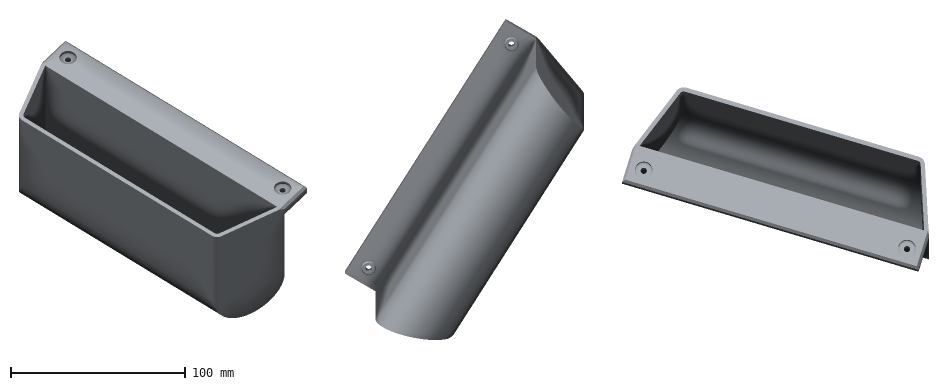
import cadquery as cq
import math

length = 178.0
depth = 63.5
height = 80.0

bin_depth = 43.0
wall = 2.5
side_angle = 20.0
corner_radius = 5.0
bottom_radius = bin_depth / 2

flange_thickness = 6.0
flange_chamfer = 1.5

hole_diameter = 3.5
counterbore_diameter = 10.0
counterbore_depth = 2.0
boss_base_diameter = 8.2
boss_tip_diameter = 7.1
boss_height = 0.9
hole_spacing = 158.0
hole_from_back = 10.0

flange_bottom = height - flange_thickness
side_taper = bin_depth * math.tan(math.radians(side_angle))


def plan_prism():
    """Tapered outline of the bin with rounded front corners, at full height."""
    back = length / 2
    front = back - side_taper
    outline = [(-front, 0), (front, 0), (back, bin_depth), (-back, bin_depth)]
    prism = cq.Workplane("XY").polyline(outline).close().extrude(height)
    return prism.edges("|Z and <Y").fillet(corner_radius)


def cavity_prism():
    """Outline of the bin moved inward by the wall thickness."""
    inner_outline = plan_prism().faces(">Z").wires().toPending().offset2D(-wall)
    return inner_outline.extrude(-height, combine=False)


def round_bottom_profile(radius):
    """U-shaped bar along X, open at the top and concentric with the bin's bottom."""
    middle = bin_depth / 2
    return (
        cq.Workplane("YZ", origin=(-length / 2, 0, 0))
        .moveTo(middle - radius, height)
        .lineTo(middle - radius, bottom_radius)
        .threePointArc((middle, bottom_radius - radius), (middle + radius, bottom_radius))
        .lineTo(middle + radius, height)
        .close()
        .extrude(length)
    )


def block(block_depth, block_height):
    """Full-length box standing on Z = 0 with its front at Y = 0."""
    return cq.Workplane("XY").box(length, block_depth, block_height, centered=(True, False, False))


def flange():
    """Plate standing out behind the back wall, flush with the rim of the bin."""
    plate = block(depth - bin_depth, flange_thickness)
    return plate.translate((0, bin_depth, flange_bottom))


def chamfer_envelope():
    """Block with the top side and back edges chamfered."""
    return block(depth, height).faces(">Z").edges("<X or >X or >Y").chamfer(flange_chamfer)


def at_holes(z):
    """Workplane at height z with a point on each screw axis."""
    points = [(side * hole_spacing / 2, depth - hole_from_back) for side in (-1, 1)]
    return cq.Workplane("XY", origin=(0, 0, z)).pushPoints(points)


def bosses():
    """Shallow cones under the flange around the screw holes."""
    cone_taper = math.degrees(math.atan2((boss_base_diameter - boss_tip_diameter) / 2, boss_height))
    base = at_holes(flange_bottom).circle(boss_base_diameter / 2)
    return base.extrude(-boss_height, taper=cone_taper)


def screw_holes():
    """Through holes with flat counterbores in the top face."""
    heads = at_holes(height).circle(counterbore_diameter / 2).extrude(-counterbore_depth)
    shanks = at_holes(height).circle(hole_diameter / 2).extrude(-height)
    return heads.union(shanks)


bin_body = plan_prism().intersect(round_bottom_profile(bottom_radius))
cavity = cavity_prism().intersect(round_bottom_profile(bottom_radius - wall))

result = bin_body.union(flange()).cut(cavity)
result = result.intersect(chamfer_envelope())
result = result.union(bosses()).cut(screw_holes())